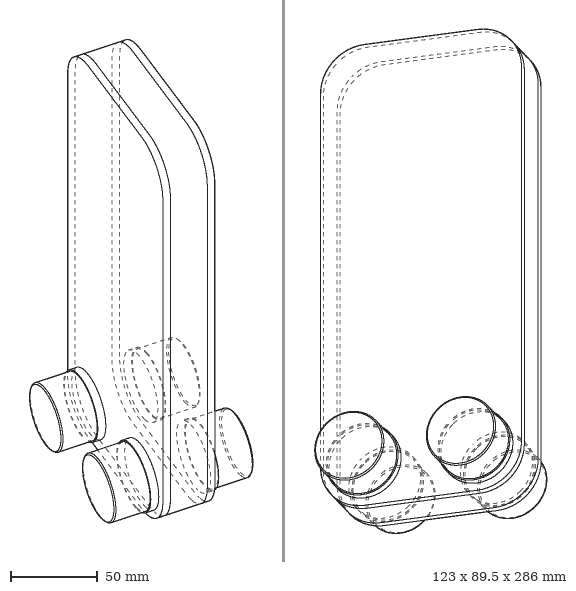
import cadquery as cq

PACK_WIDTH = 123.0
PACK_HEIGHT = 286.0
CORNER_RADIUS = 27.0
CORE_THICKNESS = 23.7
COVER_THICKNESS = 5.0
CORE_HALF = CORE_THICKNESS / 2
COVER_FACE = CORE_HALF + COVER_THICKNESS

COLLAR_DIAMETER = 44.0
COLLAR_LENGTH = 5.1
STUB_DIAMETER = 42.3
OVERALL_DEPTH = 89.5
STUB_LENGTH = OVERALL_DEPTH / 2 - COVER_FACE - COLLAR_LENGTH
STUB_CHAMFER = 1.0
CONNECTOR_SPACING = 68.4
CONNECTOR_EDGE_DISTANCE = 26.5
CONNECTOR_Z = CONNECTOR_EDGE_DISTANCE - PACK_HEIGHT / 2


def make_plate(y_start, thickness):
    """Rounded plate reaching from y_start toward +Y."""
    return (
        cq.Workplane("XZ", origin=(0, y_start, 0))
        .rect(PACK_WIDTH, PACK_HEIGHT)
        .extrude(-thickness)
        .edges("|Y")
        .fillet(CORNER_RADIUS)
    )


def make_connector(x, side):
    """Solid connector standing on a cover; side is -1 for the -Y cover, +1 for the +Y cover."""
    base = cq.Plane(
        origin=(x, side * COVER_FACE, CONNECTOR_Z),
        xDir=(1, 0, 0),
        normal=(0, side, 0),
    )
    stub = (
        cq.Workplane(base)
        .circle(STUB_DIAMETER / 2)
        .extrude(COLLAR_LENGTH + STUB_LENGTH)
        .faces(">Y" if side > 0 else "<Y")
        .chamfer(STUB_CHAMFER)
    )
    collar = cq.Workplane(base).circle(COLLAR_DIAMETER / 2).extrude(COLLAR_LENGTH)
    return collar.union(stub)


core = make_plate(-CORE_HALF, CORE_THICKNESS)
front_cover = make_plate(-COVER_FACE, COVER_THICKNESS)
rear_cover = make_plate(CORE_HALF, COVER_THICKNESS)

connectors = []
for side in (-1, 1):
    for x in (-CONNECTOR_SPACING / 2, CONNECTOR_SPACING / 2):
        connectors.append(make_connector(x, side).val())

result = cq.Compound.makeCompound([core.val(), front_cover.val(), rear_cover.val(), *connectors])